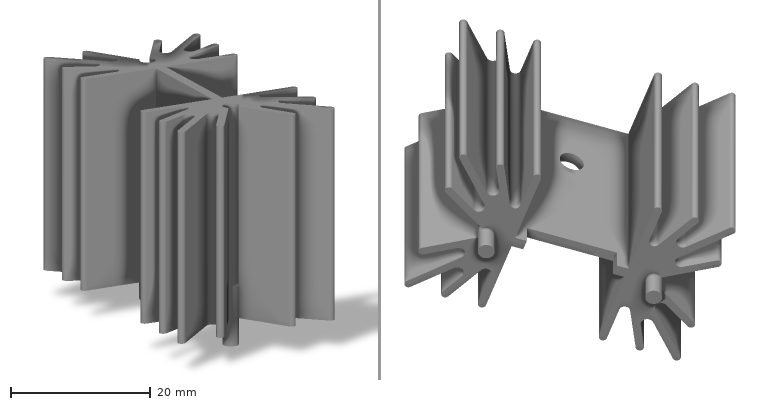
import cadquery as cq
import math

overall_length = 41.91
overall_width = 25.4
body_height = 31.75
half_length = overall_length / 2
half_width = overall_width / 2

web_thickness = 1.6
web_half_span = 8.58
web_hole_diameter = 3.65
web_hole_height = 21.6
notch_width = 13.65
notch_height = 3.05

pin_diameter = 2.4
pin_spacing = 25.4
pin_insertion = 4.95
pin_protrusion = 4.01

fin_thickness = 1.18
fin_radius = fin_thickness / 2
fin_tip_centers = [
    (web_half_span + fin_radius, half_width - fin_radius),
    (14.76, half_width - fin_radius),
    (half_length - fin_radius, half_width - fin_radius),
    (half_length - fin_radius, 5.8),
]
fin_angles = [90, 64.2, 47.7, 32.3]
gap_radii = [0.8, 0.95, 0.9]


def direction(angle):
    """Unit vector at an angle in degrees from the X axis."""
    return cq.Vector(math.cos(math.radians(angle)), math.sin(math.radians(angle)))


def intersect(point_a, angle_a, point_b, angle_b):
    """Crossing point of two lines, each given by a point and an angle."""
    along_a = direction(angle_a)
    normal_b = direction(angle_b + 90)
    distance = (point_b - point_a).dot(normal_b) / along_a.dot(normal_b)
    return point_a + along_a * distance


def xy(vector):
    """Plane coordinates of a vector."""
    return (vector.x, vector.y)


def add_fin_tip(outline, tip, angle):
    """Run up the web-facing side of a fin and around its semicircular tip."""
    to_near_side = direction(angle + 90) * fin_radius
    tip_end = tip + direction(angle) * fin_radius
    outline = outline.lineTo(*xy(tip + to_near_side))
    return outline.threePointArc(xy(tip_end), xy(tip - to_near_side))


def add_gap(outline, tip, angle, next_tip, next_angle, radius):
    """Run down into the gap after a fin and around its bottom, tangent to both fins."""
    to_fin = direction(angle + 90)
    to_next_fin = direction(next_angle - 90)
    offset = fin_radius + radius
    center = intersect(tip - to_fin * offset, angle, next_tip - to_next_fin * offset, next_angle)
    bottom = center - (direction(angle) + direction(next_angle)).normalized() * radius
    outline = outline.lineTo(*xy(center + to_fin * radius))
    return outline.threePointArc(xy(bottom), xy(center + to_next_fin * radius))


def make_quadrant():
    """The +X +Y quarter of the extrusion."""
    tips = [cq.Vector(x, y) for x, y in fin_tip_centers]
    outline = cq.Workplane("XY").lineTo(0, web_thickness / 2).lineTo(web_half_span, web_thickness / 2)
    for i, (tip, angle) in enumerate(zip(tips, fin_angles)):
        outline = add_fin_tip(outline, tip, angle)
        if i < len(gap_radii):
            outline = add_gap(outline, tip, angle, tips[i + 1], fin_angles[i + 1], gap_radii[i])

    last_side = tips[-1] + direction(fin_angles[-1] - 90) * fin_radius
    apex = intersect(cq.Vector(0, 0), 0, last_side, fin_angles[-1])
    return outline.lineTo(*xy(apex)).close().extrude(body_height)


def pin_positions():
    """Pin axes, one through each fin cluster."""
    return [(side * pin_spacing / 2, 0) for side in (-1, 1)]


def make_heatsink():
    """Finned extrusion with pin bores, a mounting hole and a notch in the web."""
    quadrant = make_quadrant()
    half = quadrant.union(quadrant.mirror("XZ"))
    body = half.union(half.mirror("YZ"))

    pin_bores = cq.Workplane("XY").pushPoints(pin_positions()).circle(pin_diameter / 2).extrude(body_height)
    web_hole = (
        cq.Workplane("XZ")
        .center(0, web_hole_height)
        .circle(web_hole_diameter / 2)
        .extrude(web_thickness, both=True)
    )
    notch = cq.Workplane("XY").box(
        notch_width, 2 * web_thickness, notch_height, centered=(True, True, False)
    )
    return body.cut(pin_bores).cut(web_hole).cut(notch)


def make_pin(position):
    """One round pin, standing partly in its bore and partly below the body."""
    return (
        cq.Workplane("XY", origin=(*position, -pin_protrusion))
        .circle(pin_diameter / 2)
        .extrude(pin_protrusion + pin_insertion)
    )


heatsink = make_heatsink()
pins = [make_pin(position) for position in pin_positions()]

result = cq.Compound.makeCompound([heatsink.val(), *[pin.val() for pin in pins]])